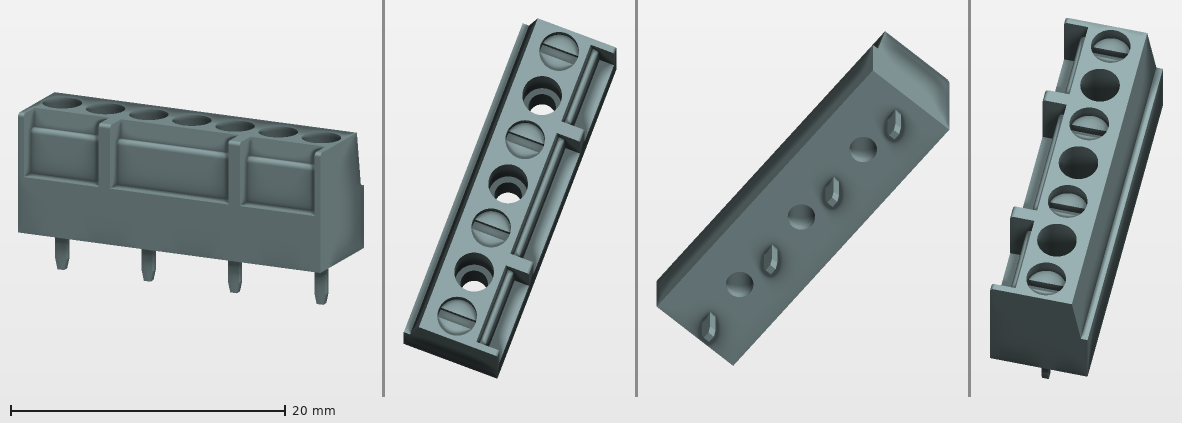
import cadquery as cq

LENGTH = 24.5
DEPTH = 7.3
HEIGHT = 9.06
LEDGE_HEIGHT = 4.78
LEDGE_DEPTH = 0.5
BACK_TOP_SETBACK = 1.18
FRONT_ROUND = 0.27

CONTACT_COUNT = 4
CELL_COUNT = 2 * CONTACT_COUNT - 1
CELL = LENGTH / CELL_COUNT
ROW_Y = 3.8
cell_centres = [CELL * (i + 0.5) for i in range(CELL_COUNT)]
contact_xs = cell_centres[0::2]
wire_hole_xs = cell_centres[1::2]

SHAFT_DIAMETER = 2.9
SCREW_DEPTH = 1.08
SLOT_WIDTH = 0.7
SLOT_DEPTH = 0.74
WIRE_HOLE_DIAMETER = 2.0
WIRE_SHAFT_DEPTH = 4.9

PIN_WIDTH = 0.9
PIN_TIP_WIDTH = 0.55
PIN_THICKNESS = 0.51
PIN_LENGTH = 3.53
PIN_TAPER = 0.8

END_CELLS = 2
RIB = 0.47
POCKET_DEPTH_TOP = 1.81
POCKET_DEPTH_CREASE = 1.65
POCKET_DEPTH_FLOOR = 1.13
NOSE_DEPTH = 1.2
CREASE_DROP = 1.4
NOSE_RADIUS = 0.4
POCKET_DROP = 4.8

left_joint_x = END_CELLS * CELL
right_joint_x = LENGTH - END_CELLS * CELL
pocket_spans = [
    (RIB, left_joint_x - RIB),
    (left_joint_x + RIB, right_joint_x - RIB),
    (right_joint_x + RIB, LENGTH - RIB),
]


def housing_bar():
    return (
        cq.Workplane("YZ")
        .polyline([
            (0, 0),
            (DEPTH, 0),
            (DEPTH, LEDGE_HEIGHT),
            (DEPTH - LEDGE_DEPTH, LEDGE_HEIGHT),
            (DEPTH - BACK_TOP_SETBACK, HEIGHT),
            (0, HEIGHT),
        ])
        .close()
        .extrude(LENGTH)
        .edges("|X and >Z and <Y")
        .fillet(FRONT_ROUND)
    )


def front_pocket(x_start, x_end):
    crease_z = HEIGHT - CREASE_DROP
    return (
        cq.Workplane("YZ", origin=(x_start, 0, 0))
        .moveTo(0, HEIGHT)
        .lineTo(POCKET_DEPTH_TOP, HEIGHT)
        .lineTo(POCKET_DEPTH_CREASE, crease_z)
        .lineTo(NOSE_DEPTH + NOSE_RADIUS, crease_z)
        .radiusArc((NOSE_DEPTH, crease_z - NOSE_RADIUS), -NOSE_RADIUS)
        .lineTo(POCKET_DEPTH_FLOOR, HEIGHT - POCKET_DROP)
        .lineTo(0, HEIGHT - POCKET_DROP)
        .close()
        .extrude(x_end - x_start)
    )


def drilled(x, diameter, depth):
    return (
        cq.Workplane("XY", origin=(x, ROW_Y, HEIGHT))
        .circle(diameter / 2)
        .extrude(-depth)
    )


def screw_recess(x):
    slot = (
        cq.Workplane("XY", origin=(x, ROW_Y, HEIGHT))
        .rect(SLOT_WIDTH, SHAFT_DIAMETER)
        .extrude(-SCREW_DEPTH - SLOT_DEPTH)
    )
    slot = slot.intersect(drilled(x, SHAFT_DIAMETER, HEIGHT))
    return drilled(x, SHAFT_DIAMETER, SCREW_DEPTH).union(slot)


def wire_hole(x):
    shaft = drilled(x, SHAFT_DIAMETER, WIRE_SHAFT_DEPTH)
    return shaft.union(drilled(x, WIRE_HOLE_DIAMETER, HEIGHT))


def solder_pin(x):
    taper_z = PIN_TAPER - PIN_LENGTH
    return (
        cq.Workplane("XZ", origin=(x, ROW_Y + PIN_THICKNESS / 2, 0))
        .polyline([
            (-PIN_WIDTH / 2, 0),
            (PIN_WIDTH / 2, 0),
            (PIN_WIDTH / 2, taper_z),
            (PIN_TIP_WIDTH / 2, -PIN_LENGTH),
            (-PIN_TIP_WIDTH / 2, -PIN_LENGTH),
            (-PIN_WIDTH / 2, taper_z),
        ])
        .close()
        .extrude(PIN_THICKNESS)
    )


def complete_row():
    row = housing_bar()
    for x_start, x_end in pocket_spans:
        row = row.cut(front_pocket(x_start, x_end))
    for x in wire_hole_xs:
        row = row.cut(wire_hole(x))
    for x in contact_xs:
        row = row.cut(screw_recess(x)).union(solder_pin(x))
    return row


def segment(row, x_start, x_end):
    slab = (
        cq.Workplane("XY", origin=(x_start, 0, -PIN_LENGTH))
        .box(x_end - x_start, DEPTH, HEIGHT + PIN_LENGTH, centered=False)
    )
    return row.intersect(slab).solids().val()


row = complete_row()
end_segments = [
    segment(row, x_start, x_end)
    for x_start, x_end in [(0, contact_xs[0]), (contact_xs[-1], LENGTH)]
]
outer_wire_segments = [
    segment(row, x_start, x_end)
    for x_start, x_end in [(contact_xs[0], left_joint_x), (right_joint_x, contact_xs[-1])]
]
rib_segments = [
    segment(row, x_start, x_end)
    for x_start, x_end in [(left_joint_x, contact_xs[1]), (contact_xs[2], right_joint_x)]
]
middle_wire_segment = segment(row, contact_xs[1], contact_xs[2])

result = cq.Compound.makeCompound([
    *end_segments,
    *outer_wire_segments,
    *rib_segments,
    middle_wire_segment,
])